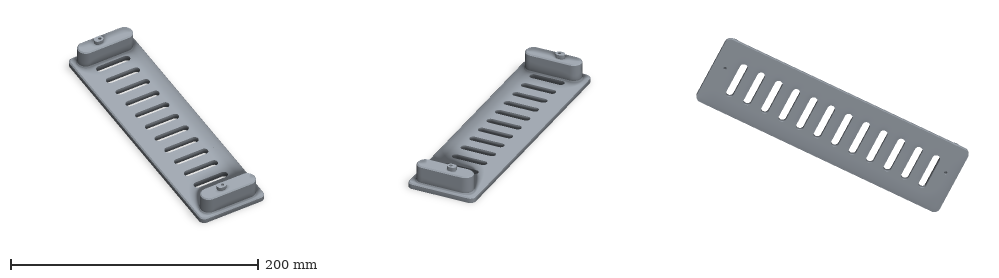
import cadquery as cq

plate_length = 220.0
plate_width = 60.0
plate_thickness = 5.0
plate_corner_radius = 5.0
edge_chamfer = 1.0

slot_count = 12
slot_pitch = 15.87
slot_length = 31.0
slot_width = 6.4
slot_row_start_x = -90.0

overall_height = 24.5
foot_spacing = 200.0
foot_length = 50.0
foot_width = 14.0
foot_chamfer = 1.0
foot_flare = 1.0
flare_taper = 45.0

pin_height = 3.5
pin_length = 8.0
pin_width = 6.0
pin_offset_y = -6.0
hole_diameter = 2.7
hole_offset_y = -5.0

foot_top = overall_height - pin_height
foot_positions = [(-foot_spacing / 2, 0), (foot_spacing / 2, 0)]


def upright_slot(length, width, height, base_z, centers, taper=0):
    """Round-ended blocks, long along Y, standing on base_z and narrowing by the taper in degrees."""
    return (
        cq.Workplane("XY")
        .workplane(offset=base_z)
        .pushPoints(centers)
        .slot2D(length, width, angle=90)
        .extrude(height, taper=taper)
    )


def at_feet(offset_y):
    """Points on both feet, moved along Y from the foot centres."""
    return [(x, y + offset_y) for x, y in foot_positions]


def make_plate():
    return (
        cq.Workplane("XY")
        .box(plate_length, plate_width, plate_thickness, centered=(True, True, False))
        .edges("|Z")
        .fillet(plate_corner_radius)
        .faces(">Z")
        .edges()
        .chamfer(edge_chamfer)
    )


def make_slots():
    first_x = slot_row_start_x + slot_width / 2
    centers = [(first_x + i * slot_pitch, 0) for i in range(slot_count)]
    return upright_slot(slot_length, slot_width, plate_thickness, 0, centers)


def make_feet():
    body_height = foot_top - plate_thickness
    body = upright_slot(foot_length, foot_width, body_height, plate_thickness, foot_positions)
    body = body.faces(">Z").edges().chamfer(foot_chamfer)

    flare_length = foot_length + 2 * foot_flare
    flare_width = foot_width + 2 * foot_flare
    flare = upright_slot(
        flare_length, flare_width, foot_flare, plate_thickness, foot_positions, flare_taper
    )
    return body.union(flare)


def make_pins():
    return upright_slot(pin_length, pin_width, pin_height, foot_top, at_feet(pin_offset_y))


def make_holes():
    return (
        cq.Workplane("XY")
        .pushPoints(at_feet(hole_offset_y))
        .circle(hole_diameter / 2)
        .extrude(overall_height)
    )


result = make_plate().cut(make_slots()).union(make_feet()).union(make_pins()).cut(make_holes())